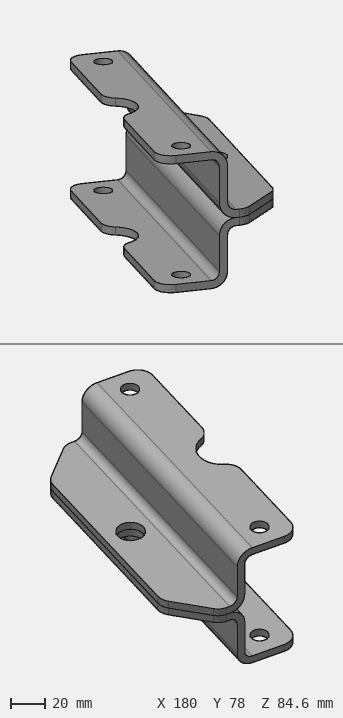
import cadquery as cq

length = 180.0
depth = 78.0
height = 84.6

sheet = 5.0
inner_bend = 5.0
outer_bend = inner_bend + sheet
flange_straight = 31.5

corner_radius = 10.0
tongue_chamfer = 25.0
notch_radius = 15.0

tongue_hole_diameter = 17.1
tongue_hole_from_edge = 17.0
flange_hole_diameter = 11.0
flange_hole_from_end = 15.0
flange_hole_from_edge = 18.0

bracket_height = height / 2
web_front = flange_straight + inner_bend
web_back = web_front + sheet
tongue_start = web_front + outer_bend


def bent_sheet():
    """Strip bent twice: tongue on Z = 0, upright web, flange at the top."""
    lower_bend_z = outer_bend
    upper_bend_z = bracket_height - outer_bend
    profile = (
        cq.Workplane("YZ", origin=(-length / 2, 0, 0))
        .moveTo(depth, 0)
        .lineTo(tongue_start, 0)
        .radiusArc((web_front, lower_bend_z), outer_bend)
        .lineTo(web_front, upper_bend_z)
        .radiusArc((flange_straight, bracket_height - sheet), -inner_bend)
        .lineTo(0, bracket_height - sheet)
        .lineTo(0, bracket_height)
        .lineTo(flange_straight, bracket_height)
        .radiusArc((web_back, upper_bend_z), outer_bend)
        .lineTo(web_back, lower_bend_z)
        .radiusArc((tongue_start, sheet), -inner_bend)
        .lineTo(depth, sheet)
        .close()
    )
    return profile.extrude(length)


def plan_block():
    """Block with the plan outline: chamfered tongue, notched flange, all corners rounded."""
    block = cq.Workplane("XY").rect(length, depth).extrude(bracket_height)
    block = block.edges("|Z and >Y").chamfer(tongue_chamfer)
    block = block.translate((0, depth / 2, 0))
    notch = cq.Workplane("XY").circle(notch_radius).extrude(bracket_height)
    return block.cut(notch).edges("|Z").fillet(corner_radius)


def hole_cutters():
    """Vertical cylinders for the tongue hole and the two flange holes."""
    tongue_hole = (
        cq.Workplane("XY")
        .center(0, depth - tongue_hole_from_edge)
        .circle(tongue_hole_diameter / 2)
        .extrude(bracket_height)
    )
    hole_x = length / 2 - flange_hole_from_end
    flange_holes = (
        cq.Workplane("XY")
        .pushPoints([(-hole_x, flange_hole_from_edge), (hole_x, flange_hole_from_edge)])
        .circle(flange_hole_diameter / 2)
        .extrude(bracket_height)
    )
    return tongue_hole.union(flange_holes)


def make_bracket(upside_down):
    """One bracket above Z = 0, or its mirror image below."""
    bracket = bent_sheet().intersect(plan_block()).cut(hole_cutters())
    if upside_down:
        bracket = bracket.mirror("XY")
    return bracket.solids().val()


brackets = []
for upside_down in (False, True):
    brackets.append(make_bracket(upside_down))

result = cq.Compound.makeCompound(brackets)